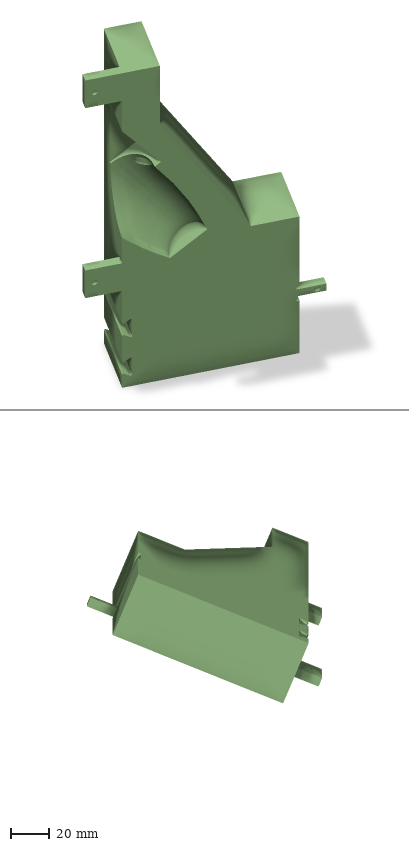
import cadquery as cq
import math

WIDTH = 35.0
HEIGHT = 227.0
BODY_DEPTH = 96.0
SHELF_HEIGHT = 98.5
NECK_DEPTH = 20.5
NECK_BOTTOM = 183.8
BACK_SLOPE = math.radians(30)

TAB_THICKNESS = 5.0
TAB_HOLE_DIAMETER = 3.5
FRONT_TAB_SIZE = 20.0
FRONT_TAB_BOTTOMS = (HEIGHT - FRONT_TAB_SIZE, 69.9)
FRONT_TAB_HOLE_INSET = 5.0
BACK_TAB_LENGTH = 14.5
BACK_TAB_HOLE_INSET = 5.0
BACK_CENTER_Z = 43.8
BACK_GROOVE_HEIGHT = 11.8
BACK_GROOVE_DEPTH = 1.5

DOVETAIL_CENTERS = (14.0, 42.0)
DOVETAIL_DEPTH = 5.5
DOVETAIL_THROAT = 8.0
DOVETAIL_WIDEST = 13.5
DOVETAIL_BEVEL = 0.7

RECESS_LEFT = 11.5
RECESS_TOP = 185.0
SEAT_FRONT_Z = 141.4
RECESS_TILT = math.radians(37.5)

CUP_MOUTH_RADIUS = 22.2
CUP_MIDDLE_RADIUS = 20.6
CUP_MIDDLE_DEPTH = 24.0
CUP_END_RADIUS = 12.7
CUP_DEPTH = 59.0

BORE_DIAMETER = 8.5
BORE_Y = 16.0
BORE_Z = 144.0
BORE_LEFT = 4.5


def prism(points, x_start=0.0):
    """Extrude a (Y, Z) outline from x_start to the right face."""
    plane = cq.Workplane("YZ", origin=(x_start, 0, 0))
    return plane.polyline(points).close().extrude(WIDTH - x_start)


def block(x_start, y_start, z_start, length_y, length_z):
    """Box from x_start to the right face."""
    size_x = WIDTH - x_start
    box = cq.Workplane("XY").box(size_x, length_y, length_z, centered=False)
    return box.translate((x_start, y_start, z_start))


def x_cylinder(x_start, y, z, diameter):
    """Cylinder along X from x_start to the right face."""
    plane = cq.Workplane("YZ", origin=(x_start, y, z))
    return plane.circle(diameter / 2).extrude(WIDTH - x_start)


def make_body():
    slope_run = (NECK_BOTTOM - SHELF_HEIGHT) * math.tan(BACK_SLOPE)
    shelf_front = NECK_DEPTH + slope_run
    return prism([
        (0, 0),
        (BODY_DEPTH, 0),
        (BODY_DEPTH, SHELF_HEIGHT),
        (shelf_front, SHELF_HEIGHT),
        (NECK_DEPTH, NECK_BOTTOM),
        (NECK_DEPTH, HEIGHT),
        (0, HEIGHT),
    ])


def make_dovetail(center_z):
    half_sections = [
        (0, DOVETAIL_THROAT / 2 + DOVETAIL_BEVEL),
        (DOVETAIL_BEVEL, DOVETAIL_THROAT / 2),
        (DOVETAIL_DEPTH - DOVETAIL_BEVEL, DOVETAIL_WIDEST / 2),
        (DOVETAIL_DEPTH, DOVETAIL_WIDEST / 2 - DOVETAIL_BEVEL),
    ]
    upper = [(y, center_z + half) for y, half in half_sections]
    lower = [(y, center_z - half) for y, half in reversed(half_sections)]
    return prism(upper + lower)


def make_recess():
    ceiling_length = (RECESS_TOP - SEAT_FRONT_Z) * math.cos(RECESS_TILT)
    corner_y = ceiling_length * math.sin(RECESS_TILT)
    corner_z = RECESS_TOP - ceiling_length * math.cos(RECESS_TILT)
    return prism([(0, RECESS_TOP), (corner_y, corner_z), (0, SEAT_FRONT_Z)], RECESS_LEFT)


def make_cup():
    """Revolve the cup profile (radius, depth along the axis) about its tilted axis."""
    plane = cq.Plane(
        origin=(WIDTH, 0, SEAT_FRONT_Z),
        xDir=(1, 0, 0),
        normal=(0, -math.cos(RECESS_TILT), -math.sin(RECESS_TILT)),
    )
    profile = (
        cq.Workplane(plane)
        .lineTo(CUP_MOUTH_RADIUS, 0)
        .threePointArc((CUP_MIDDLE_RADIUS, -CUP_MIDDLE_DEPTH), (CUP_END_RADIUS, -CUP_DEPTH))
        .lineTo(0, -CUP_DEPTH)
        .close()
    )
    return profile.revolve(360, (0, 0), (0, 1))


def make_front_tab(bottom_z):
    tab_left = WIDTH - TAB_THICKNESS
    tab = block(tab_left, -FRONT_TAB_SIZE, bottom_z, FRONT_TAB_SIZE, FRONT_TAB_SIZE)
    hole_y = -FRONT_TAB_SIZE + FRONT_TAB_HOLE_INSET
    hole_z = bottom_z + FRONT_TAB_SIZE / 2
    return tab.cut(x_cylinder(tab_left, hole_y, hole_z, TAB_HOLE_DIAMETER))


def make_back_tab():
    tab_left = WIDTH - TAB_THICKNESS
    root_y = BODY_DEPTH - BACK_GROOVE_DEPTH
    length = BACK_TAB_LENGTH + BACK_GROOVE_DEPTH
    tab = block(tab_left, root_y, BACK_CENTER_Z - TAB_THICKNESS / 2, length, TAB_THICKNESS)
    hole_y = BODY_DEPTH + BACK_TAB_LENGTH - BACK_TAB_HOLE_INSET
    return tab.cut(x_cylinder(tab_left, hole_y, BACK_CENTER_Z, TAB_HOLE_DIAMETER))


def make_back_groove():
    bottom_z = BACK_CENTER_Z - BACK_GROOVE_HEIGHT / 2
    start_y = BODY_DEPTH - BACK_GROOVE_DEPTH
    return block(0, start_y, bottom_z, BACK_GROOVE_DEPTH, BACK_GROOVE_HEIGHT)


result = make_body().cut(make_back_groove())
for dovetail_z in DOVETAIL_CENTERS:
    result = result.cut(make_dovetail(dovetail_z))

result = result.cut(make_recess()).cut(make_cup())
result = result.cut(x_cylinder(BORE_LEFT, BORE_Y, BORE_Z, BORE_DIAMETER))

for tab_z in FRONT_TAB_BOTTOMS:
    result = result.union(make_front_tab(tab_z))
result = result.union(make_back_tab())